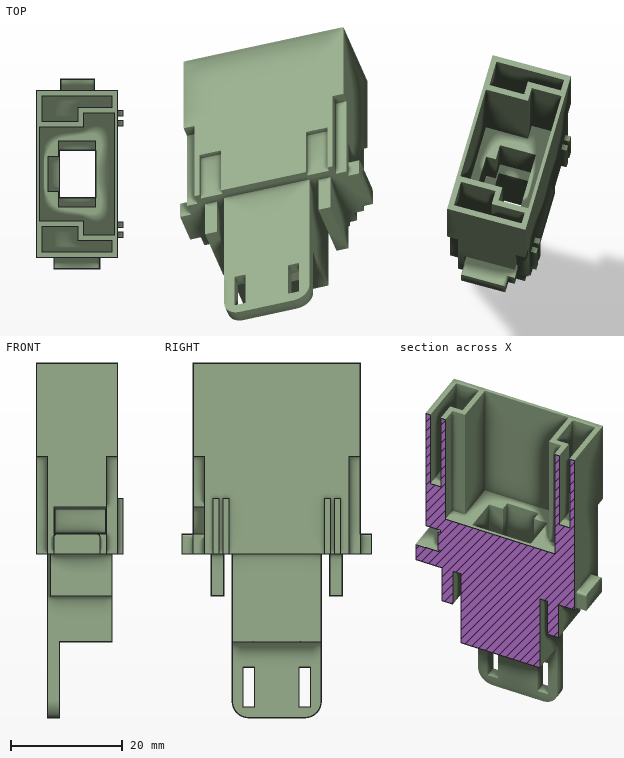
import cadquery as cq


overall_height = 63.6
body_depth = 14.6
body_width = 30.0
body_height = 34.25
half_width = body_width / 2
notch_size = 2.0
notch_height = 17.55

skin = 0.6
main_front_half_width = 10.95
main_back_half_width = 8.45
main_step_x = 8.45
main_floor_z = 11.5

wall = 1.0
side_front_inner_y = main_front_half_width + wall
side_back_inner_y = main_back_half_width + wall
side_step_x = main_step_x - wall
side_floor_z = notch_height + wall

rail_length = 10.0
rail_height = 1.0
rail_width = 1.0
rail_inner_edges = (8.6, 10.4)
guide_recess_inner_y = 8.0
guide_recess_width = 4.0
guide_recess_depth = 0.9

tongue_width = 16.0
tongue_back_x = notch_size
tongue_thickness = 2.2
tongue_length = overall_height - body_height
tongue_corner_radius = 3.0
tongue_front_x = tongue_back_x + tongue_thickness
block_front_x = 13.6
block_length = 15.75
foot_back_x = 2.55
foot_inner_y = 9.5
foot_width = 2.25
foot_length = 7.5
slot_inner_y = 4.0
slot_width = 2.05
slot_top_z = -20.3
slot_height = 7.1

hole_front_x = 10.65
hole_width = 8.5
socket_back_x = 3.95
socket_width = 11.8
socket_floor_z = 0.0
key_back_x = 2.15
key_width = 6.3

latch_reach = 2.0
latch_height = 3.6
latch_edge_radius = 0.5
near_latch_x = (3.15, 11.4)
far_latch_x = (4.35, 10.45)

window_top_z = 8.5
window_depth = 2.9
window_front_x = body_depth - notch_size
pad_height = 0.5
pad_clearance = 0.2
pad_top_z = 8.1


def box(x_range, y_range, z_range):
    """Axis-aligned box given by its lower and upper limits."""
    (x0, x1), (y0, y1), (z0, z1) = x_range, y_range, z_range
    return cq.Workplane("XY").box(x1 - x0, y1 - y0, z1 - z0, centered=False).translate((x0, y0, z0))


def centered_span(width):
    return (-width / 2, width / 2)


def both_sides(solid):
    """The solid together with its mirror image across the mid-plane."""
    return solid.union(solid.mirror("XZ"))


def body():
    outer = box((0, body_depth), centered_span(body_width), (0, body_height))
    for x_range in ((0, notch_size), (body_depth - notch_size, body_depth)):
        notch = box(x_range, (half_width - notch_size, half_width), (0, notch_height))
        outer = outer.cut(both_sides(notch))
    return outer


def main_pocket():
    z_range = (main_floor_z, body_height)
    back = box((skin, main_step_x), centered_span(2 * main_back_half_width), z_range)
    front = box((main_step_x, body_depth - skin), centered_span(2 * main_front_half_width), z_range)
    return back.union(front)


def side_pockets():
    outer_y = half_width - wall
    z_range = (side_floor_z, body_height)
    back = box((wall, side_step_x), (side_back_inner_y, outer_y), z_range)
    front = box((side_step_x, body_depth - wall), (side_front_inner_y, outer_y), z_range)
    return both_sides(back.union(front))


def guide_rails():
    rails = cq.Workplane("XY")
    for inner_y in rail_inner_edges:
        rail = box((body_depth, body_depth + rail_height), (inner_y, inner_y + rail_width), (0, rail_length))
        rails = rails.add(both_sides(rail))
    return rails.combine()


def guide_recesses():
    y_range = (guide_recess_inner_y, guide_recess_inner_y + guide_recess_width)
    return both_sides(box((0, guide_recess_depth), y_range, (0, rail_length)))


def tongue():
    y_range = centered_span(tongue_width)
    blade = box((tongue_back_x, tongue_front_x), y_range, (-tongue_length, 0))
    blade = blade.edges("|X and <Z").fillet(tongue_corner_radius)
    slot = box(
        (tongue_back_x, tongue_front_x),
        (slot_inner_y, slot_inner_y + slot_width),
        (slot_top_z - slot_height, slot_top_z),
    )
    block = box((tongue_back_x, block_front_x), y_range, (-block_length, 0))
    return blade.cut(both_sides(slot)).union(block)


def feet():
    y_range = (foot_inner_y, foot_inner_y + foot_width)
    return both_sides(box((foot_back_x, block_front_x), y_range, (-foot_length, 0)))


def central_passage():
    hole = box((tongue_front_x, hole_front_x), centered_span(hole_width), (-block_length, main_floor_z))
    socket_z = (socket_floor_z, main_floor_z)
    socket = box((socket_back_x, hole_front_x), centered_span(socket_width), socket_z)
    key = box((key_back_x, socket_back_x), centered_span(key_width), socket_z)
    return hole.union(socket).union(key)


def latch(x_range, y_range):
    """Tab at the foot of an end face, with its two upper side edges rounded."""
    tab = box(x_range, y_range, (0, latch_height))
    return tab.edges("|Y and >Z").fillet(latch_edge_radius)


def latch_window():
    back_x = near_latch_x[0]
    floor_y = window_depth - half_width
    outer = box((back_x, window_front_x), (-half_width, floor_y), (latch_height, window_top_z))
    pad = box(
        (back_x + pad_clearance, window_front_x - pad_clearance),
        (floor_y - pad_height, floor_y),
        (latch_height + pad_clearance, pad_top_z),
    )
    return outer.cut(pad)


result = body().union(tongue()).union(feet()).union(guide_rails())
result = result.union(latch(far_latch_x, (half_width, half_width + latch_reach)))
result = result.union(latch(near_latch_x, (-half_width - latch_reach, -half_width)))
for cutter in (main_pocket(), side_pockets(), guide_recesses(), central_passage(), latch_window()):
    result = result.cut(cutter)